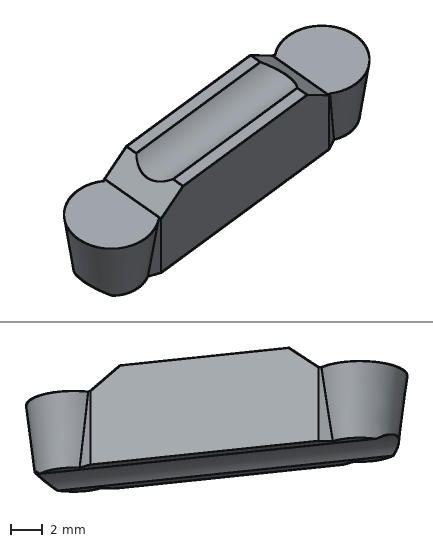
import cadquery as cq
import math

length = 25.0
height = 6.4
body_width = 5.0

body_length = 15.15
crest_length = 11.2

end_radius = 3.0
end_height = 4.9
relief_angle = 7.0
end_center = length / 2 - end_radius

neck_angle = 24.0

top_groove_width = 3.25
top_groove_depth = 0.52
bottom_groove_width = 3.5
bottom_groove_depth = 0.65


def make_body():
    """Block along Y whose upper ends slope down to the round ends."""
    profile = [
        (-body_length / 2, 0),
        (body_length / 2, 0),
        (body_length / 2, end_height),
        (crest_length / 2, height),
        (-crest_length / 2, height),
        (-body_length / 2, end_height),
    ]
    return cq.Workplane("YZ").polyline(profile).close().extrude(body_width / 2, both=True)


def make_round_end(side):
    """Conical end with its wide face on top; side is +1 or -1 along Y."""
    bottom_radius = end_radius - end_height * math.tan(math.radians(relief_angle))
    cone = cq.Solid.makeCone(bottom_radius, end_radius, end_height)
    return cq.Workplane(cone.translate(cq.Vector(0, side * end_center, 0)))


def make_neck(side):
    """Upright wedge narrowing from the end of the body to the centre of a round end."""
    neck_length = end_center - body_length / 2
    tip_width = body_width - 2 * neck_length * math.tan(math.radians(neck_angle))
    outline = [
        (-body_width / 2, side * body_length / 2),
        (body_width / 2, side * body_length / 2),
        (tip_width / 2, side * end_center),
        (-tip_width / 2, side * end_center),
    ]
    return cq.Workplane("XY").polyline(outline).close().extrude(end_height)


def make_groove(width, depth, level):
    """Round bar that cuts a groove of the given depth below the given level."""
    radius = (width**2 / 4 + depth**2) / (2 * depth)
    bar = cq.Workplane("XZ").center(0, level - depth + radius).circle(radius)
    return bar.extrude(length, both=True)


top_groove = make_groove(top_groove_width, top_groove_depth, height)
bottom_groove = make_groove(bottom_groove_width, bottom_groove_depth, 0).mirror("XY")

result = make_body()
for side in (-1, 1):
    result = result.union(make_neck(side)).union(make_round_end(side))
result = result.cut(top_groove).cut(bottom_groove)